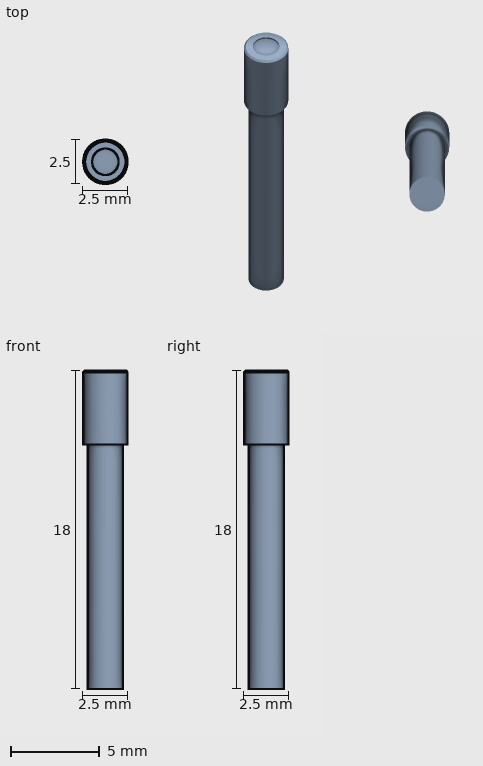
import cadquery as cq

total_length = 18.0
cap_diameter = 2.5
cap_length = 4.2
cap_chamfer = 0.1
rod_diameter = 2.0
window_diameter = 1.5
lip_thickness = 0.1

rod_length = total_length - lip_thickness
cap_bottom = total_length - cap_length


def make_rod():
    """Plain round rod standing on the XY plane."""
    return cq.Workplane("XY").circle(rod_diameter / 2).extrude(rod_length)


def make_cap():
    """Sleeve around the rod's upper end, with a thin inward lip on top."""
    cap = cq.Workplane("XY").workplane(offset=cap_bottom).circle(cap_diameter / 2).extrude(cap_length)
    cap = cap.faces(">Z").edges().chamfer(cap_chamfer)

    bore = (
        cq.Workplane("XY")
        .workplane(offset=cap_bottom)
        .circle(rod_diameter / 2)
        .extrude(cap_length - lip_thickness)
    )

    window = (
        cq.Workplane("XY")
        .workplane(offset=rod_length)
        .circle(window_diameter / 2)
        .extrude(lip_thickness)
    )
    return cap.cut(bore).cut(window)


rod = make_rod()
cap = make_cap()

result = cq.Compound.makeCompound([rod.val(), cap.val()])